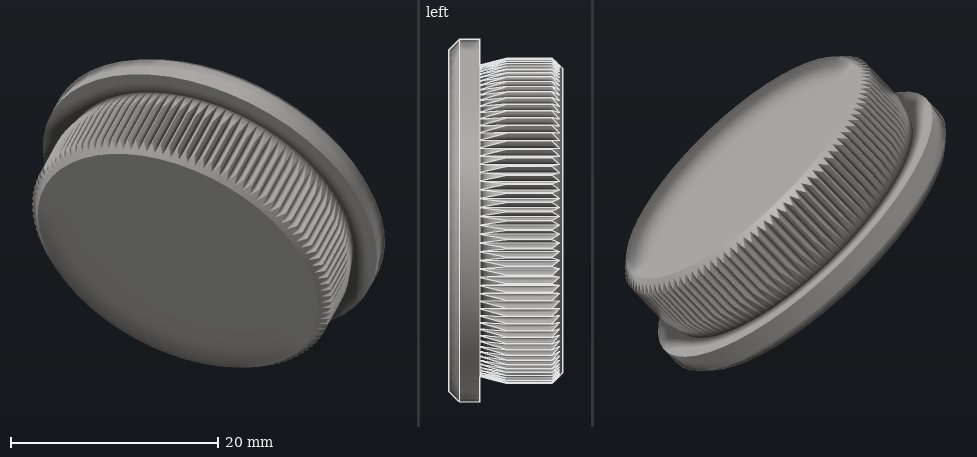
import cadquery as cq
import math


flange_radius = 17.5
flange_thickness = 3.0
flange_chamfer = 1.0

plug_length = 7.98
plug_tip_chamfer = 1.0
plug_taper_length = 2.55

tooth_count = 110
tooth_crest_radius = 15.68
tooth_sharp_radius = 15.75
tooth_root_radius = 14.98
neck_radius = 15.0


def polar_point(radius, angle):
    return (radius * math.cos(angle), radius * math.sin(angle))


def turned_about_y(profile):
    """Revolve a (radius, Y) outline about the Y axis, with its seam on the +Z side."""
    outline = cq.Workplane("ZY").polyline(profile).close()
    return outline.revolve(360, (0, 0, 0), (0, 1, 0))


def make_flange():
    """Disc with a chamfer around its outer +Y rim."""
    return turned_about_y([
        (0, 0),
        (flange_radius, 0),
        (flange_radius, flange_thickness - flange_chamfer),
        (flange_radius - flange_chamfer, flange_thickness),
        (0, flange_thickness),
    ])


def make_plug_envelope():
    """Turned plug shape: narrow neck at the flange, straight crest band, chamfered tip."""
    return turned_about_y([
        (0, 0),
        (neck_radius, 0),
        (tooth_crest_radius, -plug_taper_length),
        (tooth_crest_radius, plug_tip_chamfer - plug_length),
        (tooth_crest_radius - plug_tip_chamfer, -plug_length),
        (0, -plug_length),
    ])


def make_toothed_bar():
    """Straight bar with sharp V-shaped teeth along Y; one crest points along +X."""
    tooth_angle = 2 * math.pi / tooth_count
    points = []
    for tooth in range(tooth_count):
        crest_angle = tooth * tooth_angle
        points.append(polar_point(tooth_sharp_radius, crest_angle))
        points.append(polar_point(tooth_root_radius, crest_angle + tooth_angle / 2))
    return cq.Workplane("XZ").polyline(points).close().extrude(plug_length)


toothed_plug = make_toothed_bar().intersect(make_plug_envelope())
result = make_flange().union(toothed_plug)